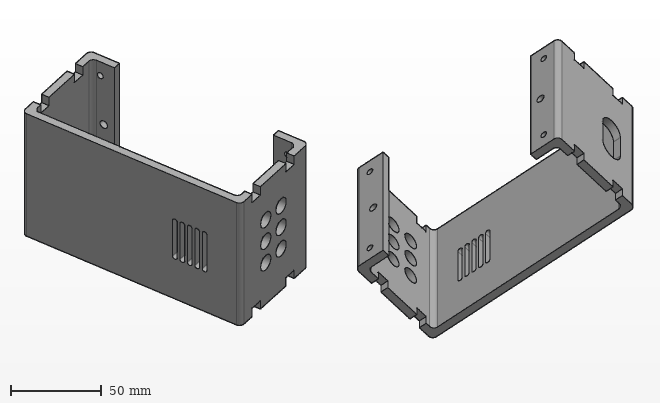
import cadquery as cq

width = 146.0
depth = 66.0
height = 86.0
wall = 5.0
corner_radius = 3.0
lip_length = 20.0

notch_width = 8.0
notch_depth = 5.8
notch_offsets_from_rear = (18.0, 51.0)

vent_count = 5
vent_pitch = 5.0
vent_width = 3.0
vent_length = 28.0
vent_center_x = 38.8
vent_center_z = -1.0

opening_width = 15.0
opening_length = 31.2
opening_y = -12.7
opening_z = -1.9

side_hole_diameter = 10.0
side_hole_columns = 2
side_hole_rows = 3
side_hole_pitch = 15.0
side_hole_center_y = -1.2
side_hole_center_z = 1.3

lip_middle_diameter = 5.0
lip_middle_inset = 12.8
lip_end_diameter = 4.0
lip_end_inset = 10.5
lip_end_height = 33.3

clearance = 1.5
cut_length = wall + 2 * clearance


def rounded_block(x_size, y_size, z_size):
    return cq.Workplane("XY").box(x_size, y_size, z_size).edges("|Z").fillet(corner_radius)


def channel():
    tube = rounded_block(width, depth, height)
    tube = tube.cut(rounded_block(width - 2 * wall, depth - 2 * wall, height + 2 * clearance))
    rear_gap = cq.Workplane("XY").box(width - 2 * lip_length, cut_length, height + 2 * clearance)
    return tube.cut(rear_gap.translate((0, (depth - wall) / 2, 0)))


def notches():
    """Cutters running across the full width, so both side walls match."""
    cutters = cq.Workplane("XY")
    for offset in notch_offsets_from_rear:
        for end in (-1, 1):
            center = (0, depth / 2 - offset, end * height / 2)
            cutters = cutters.add(
                cq.Workplane("XY").box(width + 2 * clearance, notch_width, 2 * notch_depth).translate(center)
            )
    return cutters.combine()


def vents():
    return (
        cq.Workplane("XZ", origin=(vent_center_x, -depth / 2 - clearance, vent_center_z))
        .rarray(vent_pitch, 1.5, vent_count, 1)
        .slot2D(vent_length, vent_width, 90)
        .extrude(-cut_length)
    )


def side_opening():
    return (
        cq.Workplane("YZ", origin=(-width / 2 - clearance, opening_y, opening_z))
        .slot2D(opening_length, opening_width, 90)
        .extrude(cut_length)
    )


def side_holes():
    return (
        cq.Workplane("YZ", origin=(width / 2 - wall - clearance, side_hole_center_y, side_hole_center_z))
        .rarray(side_hole_pitch, side_hole_pitch, side_hole_columns, side_hole_rows)
        .circle(side_hole_diameter / 2)
        .extrude(cut_length)
    )


def lip_holes(diameter, inset, heights):
    """Holes through both rear lips, inset from the outer side faces."""
    centers = [(side * (width / 2 - inset), z) for side in (-1, 1) for z in heights]
    return (
        cq.Workplane("XZ", origin=(0, depth / 2 - wall - clearance, 0))
        .pushPoints(centers)
        .circle(diameter / 2)
        .extrude(-cut_length)
    )


result = (
    channel()
    .cut(notches())
    .cut(vents())
    .cut(side_opening())
    .cut(side_holes())
    .cut(lip_holes(lip_middle_diameter, lip_middle_inset, (0,)))
    .cut(lip_holes(lip_end_diameter, lip_end_inset, (-lip_end_height, lip_end_height)))
)